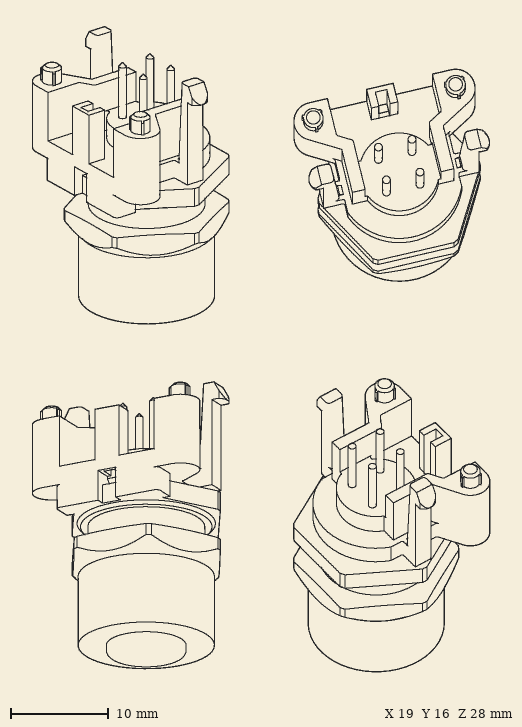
import cadquery as cq
import math

PLUG_RADIUS = 4.1
PLUG_FILLET = 0.5
SLEEVE_RADIUS = 7.0
SLEEVE_BOTTOM = 1.0
SLEEVE_TOP = 8.5
NECK_RADIUS = 6.0

HEX_ACROSS_FLATS = 15.0
HEX_CORNER_RADIUS = 8.5
NUT_TOP = 11.35
NUT_TOP_FACE_RADIUS = 7.3
NUT_TOP_CHAMFER = 0.15

FLANGE_BOTTOM = 14.3
FLANGE_THICKNESS = 2.0
FLANGE_TOP = FLANGE_BOTTOM + FLANGE_THICKNESS
COLLAR_RADIUS = 7.1
COLLAR_CHAMFER = 0.35
COLLAR_BOTTOM = FLANGE_BOTTOM - COLLAR_CHAMFER

PLATE_BOTTOM = 16.8
PLATE_TOP = 18.8
INSERT_TOP = 21.0
WALL_TOP = 24.3
FRONT_Y = -8.5

PLATE_RADIUS = 6.5
PLATE_HALF_WIDTH = 6.0
PLATE_CORNER_FILLET = 0.3
BOSS_RADIUS = 2.0
BOSS_X = 7.5
BOSS_Y = FRONT_Y + BOSS_RADIUS
WALL_SLOPE = math.radians(30)
WALL_OUTER_X = 5.35
WALL_INNER_X = 4.0
WALL_BACK_Y = 1.7
WALL_INNER_KNEE_Y = -3.62
POCKET_HALF_WIDTH = 5.53
KNEE_FILLET = 0.3
KEY_INNER_X = 3.5
KEY_FILLET = 0.2
KEY_FRONT_Y = -2.05

BLOCK_BACK_Y = -6.0
BLOCK_CORNER_RADIUS = 0.5
POST_HALF_WIDTH = 1.4
POST_BACK_Y = -6.47
CHANNEL_HALF_WIDTH = 0.6
CHANNEL_FRONT_Y = -8.0
SLOT_HALF_WIDTH = 1.03
SLOT_TOP = 17.55
SLOT_BEVEL = 0.5

LOCATOR_TOP = 26.1
LOCATOR_RADIUS = 1.0
LOCATOR_TIP_RADIUS = 0.7
RIB_COUNT = 3
RIB_RADIUS = 1.17
RIB_WIDTH = 0.25
RIB_START_ANGLE = 95

CONTACT_COUNT = 4
CONTACT_START_ANGLE = 45
CONTACT_CIRCLE_RADIUS = 2.5
CONTACT_RADIUS = 0.4
CONTACT_TIP_HEIGHT = 0.45
CONTACT_TOP = 27.2

LATCH_TOP = 28.0
LATCH_HALF_WIDTH = 1.0
LATCH_OUTER_X = 8.2
LATCH_INNER_TOP_X = 7.05
LATCH_INNER_FOOT_X = 6.4
LATCH_INNER_FILLET = 0.4
HOOK_BOTTOM = 26.1
HOOK_TIP_X = 9.5
HOOK_TOP_X = 8.42
HOOK_TIP_RADIUS = 1.25
RIDGE_HEIGHT = 0.3
RIDGE_HALF_WIDTH = 0.5
ROOT_FILLET = 0.2


def cylinder(radius, bottom, top):
    return cq.Workplane("XY").workplane(offset=bottom).circle(radius).extrude(top - bottom)


def block(x_min, x_max, y_min, y_max, bottom, top):
    size = (x_max - x_min, y_max - y_min, top - bottom)
    return cq.Workplane("XY").box(*size, centered=False).translate((x_min, y_min, bottom))


def turned(profile):
    """Solid turned about the Z axis from (radius, height) points."""
    return cq.Workplane("XZ").polyline(profile).close().revolve(360, (0, 0), (0, 1))


def hexagon(bottom, top):
    across_corners = HEX_ACROSS_FLATS / math.cos(math.radians(30))
    return cq.Workplane("XY").workplane(offset=bottom).polygon(6, across_corners).extrude(top - bottom)


def both_sides(left_half):
    return left_half.union(left_half.mirror("YZ"))


def make_barrel():
    plug = cylinder(PLUG_RADIUS, 0, SLEEVE_TOP).faces("<Z").edges().fillet(PLUG_FILLET)
    sleeve = cylinder(SLEEVE_RADIUS, SLEEVE_BOTTOM, SLEEVE_TOP)
    neck = cylinder(NECK_RADIUS, SLEEVE_TOP, FLANGE_TOP)
    insert = cylinder(PLUG_RADIUS, FLANGE_BOTTOM, INSERT_TOP)
    return plug.union(sleeve).union(neck).union(insert)


def make_nut():
    cone_height = HEX_CORNER_RADIUS - SLEEVE_RADIUS
    envelope = turned([
        (0, SLEEVE_TOP),
        (SLEEVE_RADIUS, SLEEVE_TOP),
        (HEX_CORNER_RADIUS, SLEEVE_TOP + cone_height),
        (HEX_CORNER_RADIUS, NUT_TOP - NUT_TOP_CHAMFER),
        (NUT_TOP_FACE_RADIUS, NUT_TOP),
        (0, NUT_TOP),
    ])
    return hexagon(SLEEVE_TOP, NUT_TOP).intersect(envelope)


def make_flange():
    collar = turned([
        (0, COLLAR_BOTTOM),
        (COLLAR_RADIUS - COLLAR_CHAMFER, COLLAR_BOTTOM),
        (COLLAR_RADIUS, FLANGE_BOTTOM),
        (0, FLANGE_BOTTOM),
    ])
    rounding = cylinder(HEX_CORNER_RADIUS, FLANGE_BOTTOM, FLANGE_TOP)
    return hexagon(FLANGE_BOTTOM, FLANGE_TOP).intersect(rounding).union(collar)


def make_carrier_wall():
    """Left wall with its boss: one full-height outline."""
    tangent_x = -BOSS_X - BOSS_RADIUS * math.sin(WALL_SLOPE)
    tangent_y = BOSS_Y + BOSS_RADIUS * math.cos(WALL_SLOPE)
    outer_knee_y = tangent_y + (-WALL_OUTER_X - tangent_x) * math.tan(WALL_SLOPE)
    pocket_back_y = WALL_INNER_KNEE_Y - (POCKET_HALF_WIDTH - WALL_INNER_X) * math.tan(WALL_SLOPE)
    wall = (
        cq.Workplane("XY").workplane(offset=PLATE_BOTTOM)
        .moveTo(-WALL_INNER_X, WALL_BACK_Y)
        .lineTo(-WALL_OUTER_X, WALL_BACK_Y)
        .lineTo(-WALL_OUTER_X, outer_knee_y)
        .lineTo(tangent_x, tangent_y)
        .threePointArc((-BOSS_X - BOSS_RADIUS, BOSS_Y), (-BOSS_X, FRONT_Y))
        .lineTo(-POCKET_HALF_WIDTH, FRONT_Y)
        .lineTo(-POCKET_HALF_WIDTH, pocket_back_y)
        .lineTo(-WALL_INNER_X, WALL_INNER_KNEE_Y)
        .close()
        .extrude(WALL_TOP - PLATE_BOTTOM)
    )
    for knee in ((-POCKET_HALF_WIDTH, pocket_back_y), (-WALL_INNER_X, WALL_INNER_KNEE_Y)):
        knee_edge = cq.selectors.NearestToPointSelector((*knee, (PLATE_BOTTOM + WALL_TOP) / 2))
        wall = wall.edges(knee_edge).fillet(KNEE_FILLET)
    return wall


def make_plate():
    sides = block(-PLATE_HALF_WIDTH, PLATE_HALF_WIDTH, FRONT_Y, PLATE_RADIUS, PLATE_BOTTOM, PLATE_TOP)
    round_back = cylinder(PLATE_RADIUS, PLATE_BOTTOM, PLATE_TOP)
    straight_front = block(-PLATE_HALF_WIDTH, PLATE_HALF_WIDTH, FRONT_Y, 0, PLATE_BOTTOM, PLATE_TOP)
    return sides.intersect(round_back).union(straight_front)


def round_plate_corners(body):
    """Fillet the inward corners where the plate sides run into the boss walls."""
    slope_rise = (BOSS_X - PLATE_HALF_WIDTH) * math.tan(WALL_SLOPE)
    corner_y = BOSS_Y + BOSS_RADIUS / math.cos(WALL_SLOPE) + slope_rise
    for corner_x in (-PLATE_HALF_WIDTH, PLATE_HALF_WIDTH):
        corner = (corner_x, corner_y, (PLATE_BOTTOM + PLATE_TOP) / 2)
        body = body.edges(cq.selectors.NearestToPointSelector(corner)).fillet(PLATE_CORNER_FILLET)
    return body


def make_front_block():
    foot = block(-PLATE_HALF_WIDTH, PLATE_HALF_WIDTH, FRONT_Y, BLOCK_BACK_Y, FLANGE_BOTTOM, PLATE_BOTTOM)
    foot = foot.faces("<Y").edges("|Z").fillet(BLOCK_CORNER_RADIUS)
    post = block(-POST_HALF_WIDTH, POST_HALF_WIDTH, FRONT_Y, POST_BACK_Y, PLATE_TOP, WALL_TOP)
    return foot.union(post)


def make_front_cuts():
    channel = block(
        -CHANNEL_HALF_WIDTH, CHANNEL_HALF_WIDTH, CHANNEL_FRONT_Y, POST_BACK_Y, FLANGE_BOTTOM, WALL_TOP
    )
    slot = (
        cq.Workplane("YZ").workplane(offset=-SLOT_HALF_WIDTH)
        .moveTo(FRONT_Y, FLANGE_BOTTOM)
        .lineTo(FRONT_Y, SLOT_TOP)
        .lineTo(POST_BACK_Y, SLOT_TOP)
        .lineTo(POST_BACK_Y, PLATE_BOTTOM + SLOT_BEVEL)
        .lineTo(POST_BACK_Y + SLOT_BEVEL, PLATE_BOTTOM)
        .lineTo(POST_BACK_Y + SLOT_BEVEL, FLANGE_BOTTOM)
        .close()
        .extrude(2 * SLOT_HALF_WIDTH)
    )
    return channel.union(slot)


def make_key():
    """Filler between the left wall and the round insert."""
    return (
        cq.Workplane("XY").workplane(offset=PLATE_TOP)
        .moveTo(-WALL_INNER_X, WALL_BACK_Y)
        .lineTo(-KEY_INNER_X, WALL_BACK_Y)
        .lineTo(-KEY_INNER_X, KEY_FRONT_Y)
        .lineTo(-WALL_INNER_X + KEY_FILLET, KEY_FRONT_Y)
        .radiusArc((-WALL_INNER_X, KEY_FRONT_Y - KEY_FILLET), -KEY_FILLET)
        .close()
        .extrude(INSERT_TOP - PLATE_TOP)
    )


def make_locator(x):
    """Ribbed pin with one 45 degree cone cut across pin and ribs."""
    pin = cylinder(LOCATOR_RADIUS, WALL_TOP, LOCATOR_TOP)
    rib = block(0, RIB_RADIUS, -RIB_WIDTH / 2, RIB_WIDTH / 2, WALL_TOP, LOCATOR_TOP)
    for index in range(RIB_COUNT):
        pin = pin.union(rib.rotate((0, 0, 0), (0, 0, 1), RIB_START_ANGLE + index * 360 / RIB_COUNT))
    envelope = turned([
        (0, WALL_TOP),
        (RIB_RADIUS, WALL_TOP),
        (RIB_RADIUS, LOCATOR_TOP - (RIB_RADIUS - LOCATOR_TIP_RADIUS)),
        (LOCATOR_TIP_RADIUS, LOCATOR_TOP),
        (0, LOCATOR_TOP),
    ])
    return pin.intersect(envelope).translate((x, BOSS_Y, 0))


def make_contact(angle):
    shaft_top = CONTACT_TOP - CONTACT_TIP_HEIGHT
    contact = turned([
        (0, PLATE_TOP),
        (CONTACT_RADIUS, PLATE_TOP),
        (CONTACT_RADIUS, shaft_top),
        (0, CONTACT_TOP),
    ])
    return contact.translate((CONTACT_CIRCLE_RADIUS, 0, 0)).rotate((0, 0, 0), (0, 0, 1), angle)


def make_latch_arm():
    arm = (
        cq.Workplane("XZ").workplane(offset=-LATCH_HALF_WIDTH)
        .moveTo(-LATCH_OUTER_X, PLATE_BOTTOM)
        .lineTo(-LATCH_OUTER_X, HOOK_BOTTOM)
        .lineTo(-HOOK_TIP_X, HOOK_BOTTOM)
        .lineTo(-HOOK_TOP_X, LATCH_TOP)
        .lineTo(-LATCH_INNER_TOP_X, LATCH_TOP)
        .lineTo(-LATCH_INNER_FOOT_X, PLATE_BOTTOM)
        .close()
        .extrude(2 * LATCH_HALF_WIDTH)
    )
    arm = arm.faces(">X").edges("not |Y").fillet(LATCH_INNER_FILLET)
    tip_center_x = -HOOK_TIP_X + HOOK_TIP_RADIUS
    tip_rounding = cylinder(HOOK_TIP_RADIUS, PLATE_BOTTOM, LATCH_TOP).translate((tip_center_x, 0, 0))
    arm_behind_tip = block(
        tip_center_x, 0, -LATCH_HALF_WIDTH, LATCH_HALF_WIDTH, PLATE_BOTTOM, LATCH_TOP
    )
    return arm.intersect(tip_rounding.union(arm_behind_tip))


def make_latch_root():
    """Bridge from the latch arm to the plate, with a small ridge leaning on the arm."""
    fillet_y = LATCH_HALF_WIDTH + ROOT_FILLET
    fillet_x = -PLATE_HALF_WIDTH - ROOT_FILLET
    arm_x = -(LATCH_OUTER_X + LATCH_INNER_FOOT_X) / 2
    bridge = (
        cq.Workplane("XY").workplane(offset=PLATE_BOTTOM)
        .moveTo(arm_x, -LATCH_HALF_WIDTH)
        .lineTo(fillet_x, -LATCH_HALF_WIDTH)
        .radiusArc((-PLATE_HALF_WIDTH, -fillet_y), ROOT_FILLET)
        .lineTo(-PLATE_HALF_WIDTH, fillet_y)
        .radiusArc((fillet_x, LATCH_HALF_WIDTH), ROOT_FILLET)
        .lineTo(arm_x, LATCH_HALF_WIDTH)
        .close()
        .extrude(PLATE_TOP - PLATE_BOTTOM)
    )
    ridge = (
        cq.Workplane("XZ").workplane(offset=-RIDGE_HALF_WIDTH)
        .moveTo(arm_x, PLATE_BOTTOM)
        .lineTo(-PLATE_HALF_WIDTH, PLATE_BOTTOM)
        .lineTo(-PLATE_HALF_WIDTH, PLATE_TOP)
        .lineTo(-LATCH_INNER_FOOT_X, PLATE_TOP + RIDGE_HEIGHT)
        .lineTo(arm_x, PLATE_TOP + RIDGE_HEIGHT)
        .close()
        .extrude(2 * RIDGE_HALF_WIDTH)
    )
    return bridge.union(ridge)


carrier = make_plate().union(make_front_block())
carrier = carrier.union(both_sides(make_carrier_wall()))
carrier = round_plate_corners(carrier).cut(make_front_cuts())

result = make_barrel().union(make_nut()).union(make_flange()).union(carrier)
result = result.union(both_sides(make_key()))
result = result.union(both_sides(make_latch_arm().union(make_latch_root())))

for locator_x in (-BOSS_X, BOSS_X):
    result = result.union(make_locator(locator_x))

for contact_index in range(CONTACT_COUNT):
    result = result.union(make_contact(CONTACT_START_ANGLE + contact_index * 360 / CONTACT_COUNT))